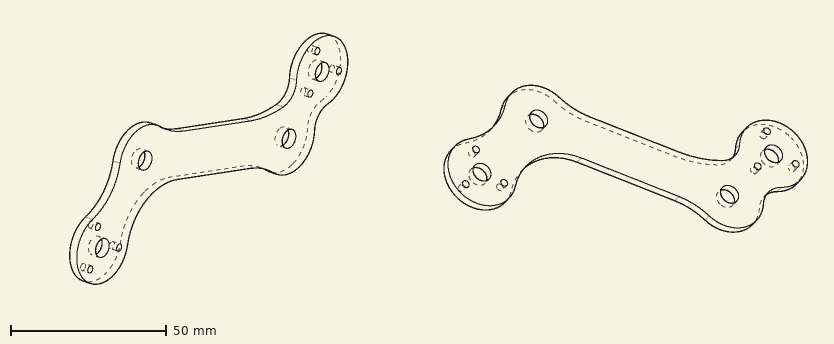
import cadquery as cq
import math


thickness = 3.175
length = 127.72
height = 55.52
hub_radius = 12.1
bar_half_width = 8.09

left_arm_offset = (15.62, 18.65)
right_arm_offset = (20.15, 24.40)
end_y = length / 2 - hub_radius
end_z = height / 2 - hub_radius
left_end = (end_y, end_z)
right_end = (-end_y, -end_z)
left_middle = (end_y - left_arm_offset[0], end_z - left_arm_offset[1])
right_middle = (-end_y + right_arm_offset[0], -end_z + right_arm_offset[1])

left_arm_blend = 7.94
right_arm_blend = 21.6
left_top_blend = 38.1
left_bottom_blend = 25.4
right_top_blend = 25.4
right_bottom_blend = 20.32

bore_diameter = 6.35
screw_diameter = 2.38
screw_circle_radius = 8.13
screw_count = 3
left_screw_angle = 106.5
right_screw_angle = 105

bar_length = math.dist(left_middle, right_middle)
along = tuple((end - start) / bar_length for start, end in zip(left_middle, right_middle))
across = (along[1], -along[0])


def shifted(point, direction, distance):
    return (point[0] + direction[0] * distance, point[1] + direction[1] * distance)


def hub_junction(hub, blend_centre):
    """Point where a hub meets the blend that is tangent to it."""
    gap = math.dist(hub, blend_centre)
    direction = ((blend_centre[0] - hub[0]) / gap, (blend_centre[1] - hub[1]) / gap)
    return shifted(hub, direction, hub_radius)


def blend_between_hubs(first, second, radius):
    """Centre of a blend tangent to two hubs, on the right when going from first to second."""
    half_gap = math.dist(first, second) / 2
    middle = ((first[0] + second[0]) / 2, (first[1] + second[1]) / 2)
    forward = ((middle[0] - first[0]) / half_gap, (middle[1] - first[1]) / half_gap)
    right = (forward[1], -forward[0])
    return shifted(middle, right, math.sqrt((hub_radius + radius) ** 2 - half_gap**2))


def blend_to_bar(hub, radius, side, toward):
    """Centre of a blend tangent to a hub and a bar edge, and its junction with that edge.

    side is 1 for the upper bar edge and -1 for the lower one; toward is 1 when the blend
    lies on the -Y side of the hub and -1 when it lies on the +Y side.
    """
    from_left = (hub[0] - left_middle[0], hub[1] - left_middle[1])
    hub_along = from_left[0] * along[0] + from_left[1] * along[1]
    hub_across = from_left[0] * across[0] + from_left[1] * across[1]
    centre_across = side * (bar_half_width + radius)
    run = math.sqrt((hub_radius + radius) ** 2 - (centre_across - hub_across) ** 2)
    foot = shifted(left_middle, along, hub_along + toward * run)
    return shifted(foot, across, centre_across), shifted(foot, across, side * bar_half_width)


def arc_middle(centre, start, end, turn):
    """Middle point of an arc; turn is 1 for counterclockwise and -1 for clockwise."""
    start_angle = math.atan2(start[1] - centre[1], start[0] - centre[0])
    end_angle = math.atan2(end[1] - centre[1], end[0] - centre[0])
    sweep = (turn * (end_angle - start_angle)) % (2 * math.pi)
    angle = start_angle + turn * sweep / 2
    return shifted(centre, (math.cos(angle), math.sin(angle)), math.dist(centre, start))


def back_plane():
    """Sketch plane on the -X face, so that the plate is centred on X = 0."""
    return cq.Workplane("YZ", origin=(-thickness / 2, 0, 0))


def make_plate():
    """Plate with a counterclockwise outline of convex hubs, concave blends and two bar edges."""
    hub_turn = 1
    blend_turn = -1

    arm_top = blend_between_hubs(left_end, left_middle, left_arm_blend)
    arm_bottom = blend_between_hubs(left_middle, left_end, left_arm_blend)
    right_arm = blend_between_hubs(right_middle, right_end, right_arm_blend)
    left_top, left_top_edge = blend_to_bar(left_middle, left_top_blend, 1, 1)
    right_top, right_top_edge = blend_to_bar(right_middle, right_top_blend, 1, -1)
    right_bottom, right_bottom_edge = blend_to_bar(right_end, right_bottom_blend, -1, -1)
    left_bottom, left_bottom_edge = blend_to_bar(left_middle, left_bottom_blend, -1, 1)

    top_run = [
        (left_end, hub_turn, hub_junction(left_end, arm_top)),
        (arm_top, blend_turn, hub_junction(left_middle, arm_top)),
        (left_middle, hub_turn, hub_junction(left_middle, left_top)),
        (left_top, blend_turn, left_top_edge),
    ]
    right_run = [
        (right_top, blend_turn, hub_junction(right_middle, right_top)),
        (right_middle, hub_turn, hub_junction(right_middle, right_arm)),
        (right_arm, blend_turn, hub_junction(right_end, right_arm)),
        (right_end, hub_turn, hub_junction(right_end, right_bottom)),
        (right_bottom, blend_turn, right_bottom_edge),
    ]
    bottom_run = [
        (left_bottom, blend_turn, hub_junction(left_middle, left_bottom)),
        (left_middle, hub_turn, hub_junction(left_middle, arm_bottom)),
        (arm_bottom, blend_turn, hub_junction(left_end, arm_bottom)),
    ]

    def add_arcs(sketch, start, arcs):
        for centre, turn, end in arcs:
            sketch = sketch.threePointArc(arc_middle(centre, start, end, turn), end)
            start = end
        return sketch

    start = hub_junction(left_end, arm_bottom)
    outline = back_plane().moveTo(*start)
    outline = add_arcs(outline, start, top_run)
    outline = outline.lineTo(*right_top_edge)
    outline = add_arcs(outline, right_top_edge, right_run)
    outline = outline.lineTo(*left_bottom_edge)
    outline = add_arcs(outline, left_bottom_edge, bottom_run)
    return outline.close().extrude(thickness)


def screw_points(hub, first_angle):
    """Screw holes evenly spaced around a hub."""
    angles = [math.radians(first_angle + i * 360 / screw_count) for i in range(screw_count)]
    return [shifted(hub, (math.cos(a), math.sin(a)), screw_circle_radius) for a in angles]


def through_holes(points, diameter):
    return back_plane().pushPoints(points).circle(diameter / 2).extrude(thickness)


bores = through_holes([left_end, left_middle, right_middle, right_end], bore_diameter)
left_screws = through_holes(screw_points(left_end, left_screw_angle), screw_diameter)
right_screws = through_holes(screw_points(right_end, right_screw_angle), screw_diameter)

result = make_plate().cut(bores).cut(left_screws).cut(right_screws)